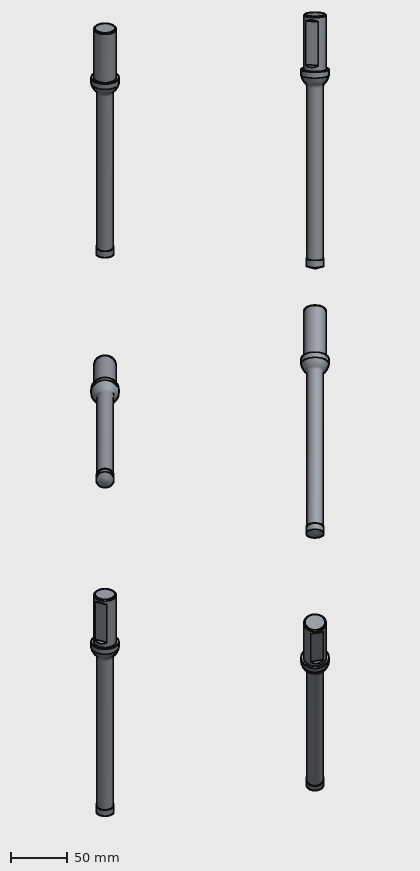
import cadquery as cq

TOTAL_LENGTH = 231.0

SHANK_DIAMETER = 20.0
SHANK_LENGTH = 50.0
SHANK_END_DIAMETER = 17.8
SHANK_BEVEL_DIAMETER = 19.9
END_BEVEL_HEIGHT = 1.2
LEAD_IN_HEIGHT = 1.0

FLAT_DEPTH = 1.8
FLAT_TOP_MARGIN = 3.2
FLAT_BOTTOM_MARGIN = 3.5

COLLAR_DIAMETER = 25.0
COLLAR_HEIGHT = 5.5
COLLAR_CHAMFER = 0.2
SHOULDER_HEIGHT = 7.6
SHOULDER_RADIUS = 13.9
NECK_DIAMETER = 16.2
NECK_BLEND_HEIGHT = 2.8

ROD_DIAMETER = 14.8

TIP_DIAMETER = 16.0
TIP_LENGTH = 9.2
POINT_HEIGHT = 2.8

shank_radius = SHANK_DIAMETER / 2
collar_radius = COLLAR_DIAMETER / 2
neck_radius = NECK_DIAMETER / 2
rod_radius = ROD_DIAMETER / 2
tip_radius = TIP_DIAMETER / 2

bevel_edge = TOTAL_LENGTH - END_BEVEL_HEIGHT
collar_top = TOTAL_LENGTH - SHANK_LENGTH
collar_bottom = collar_top - COLLAR_HEIGHT
shoulder_end = collar_bottom - SHOULDER_HEIGHT
rod_top = shoulder_end - NECK_BLEND_HEIGHT


def make_flat_cutter():
    """Block with 45-degree end ramps that cuts the clamping flat on the +Y side."""
    upper = TOTAL_LENGTH - FLAT_TOP_MARGIN
    lower = collar_top + FLAT_BOTTOM_MARGIN
    floor_y = shank_radius - FLAT_DEPTH
    return (
        cq.Workplane("YZ")
        .moveTo(shank_radius, lower)
        .lineTo(floor_y, lower + FLAT_DEPTH)
        .lineTo(floor_y, upper - FLAT_DEPTH)
        .lineTo(shank_radius, upper)
        .close()
        .extrude(shank_radius, both=True)
    )


def make_drill_body():
    """Turned rod, collar with rounded shoulder and bevelled shank with its clamping flat."""
    turned = (
        cq.Workplane("XZ")
        .moveTo(0, TIP_LENGTH)
        .lineTo(rod_radius, TIP_LENGTH)
        .lineTo(rod_radius, rod_top)
        .tangentArcPoint((neck_radius, shoulder_end), relative=False)
        .radiusArc((collar_radius, collar_bottom), -SHOULDER_RADIUS)
        .lineTo(collar_radius, collar_top - COLLAR_CHAMFER)
        .lineTo(collar_radius - COLLAR_CHAMFER, collar_top)
        .lineTo(shank_radius, collar_top)
        .lineTo(shank_radius, bevel_edge - LEAD_IN_HEIGHT)
        .lineTo(SHANK_BEVEL_DIAMETER / 2, bevel_edge)
        .lineTo(SHANK_END_DIAMETER / 2, TOTAL_LENGTH)
        .lineTo(0, TOTAL_LENGTH)
        .close()
        .revolve(360, (0, 0, 0), (0, 1, 0))
    )
    return turned.cut(make_flat_cutter())


def make_tip():
    """Cutting tip: a short cylinder with a shallow conical point."""
    return (
        cq.Workplane("XZ")
        .lineTo(tip_radius, POINT_HEIGHT)
        .lineTo(tip_radius, TIP_LENGTH)
        .lineTo(0, TIP_LENGTH)
        .close()
        .revolve(360, (0, 0, 0), (0, 1, 0))
    )


drill_body = make_drill_body()
tip = make_tip()

result = cq.Compound.makeCompound([drill_body.val(), tip.val()])